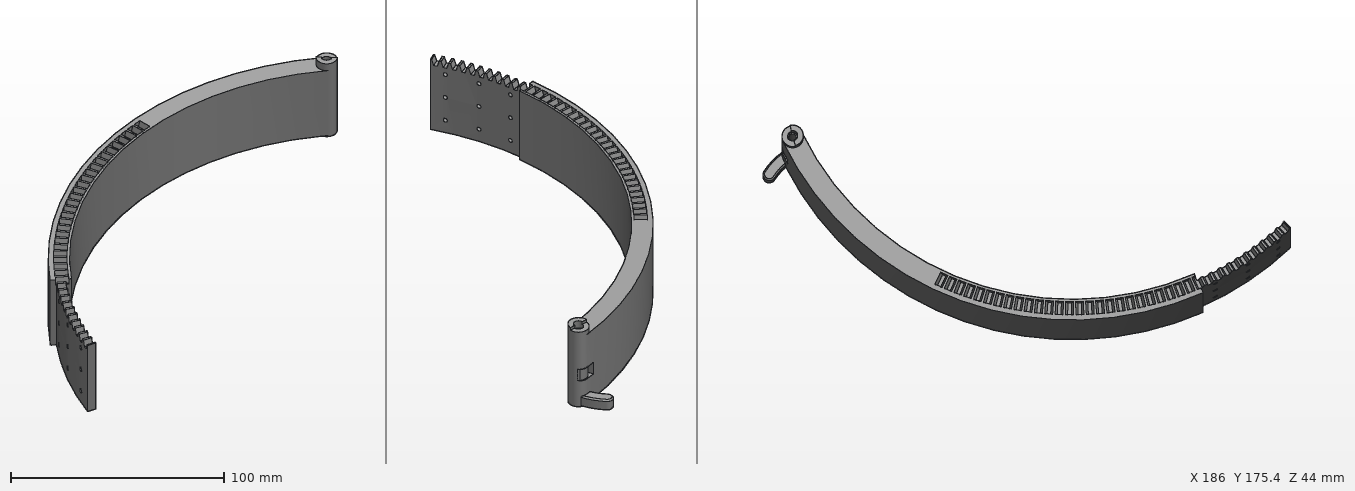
import cadquery as cq
import math

overall_length = 186.0

band_outer_radius = 150.0
band_thickness = 10.0
band_height = 40.0
band_start_angle = -9.0
band_end_angle = 80.0
bottom_chamfer = 0.7
band_inner_radius = band_outer_radius - band_thickness

strip_outer_radius = 147.0
strip_thickness = 4.3
strip_end_angle = 100.0
strip_overlap_angle = 1.0
strip_inner_radius = strip_outer_radius - strip_thickness

tooth_pitch_angle = 1.9
tooth_depth = 3.2
gap_floor_width = 1.7
gap_mouth_width = 3.7
first_gap_angle = 30.6
gap_count = 37
outer_ledge = 2.6
inner_wall = 1.1
gap_outer_radius = band_outer_radius - outer_ledge
gap_inner_radius = band_inner_radius + inner_wall

hole_diameter = 2.0
hole_angle_step = 7.0
hole_height_step = 13.0
hole_middle_angle = 90.0
hole_middle_height = band_height / 2

barrel_diameter = band_thickness
barrel_height = 44.0
bore_diameter = 3.3
counterbore_diameter = 4.7
counterbore_depth = barrel_height - band_height
top_step_depth = 1.5
top_step_tilt = -20.0
barrel_radius = barrel_diameter / 2
barrel_path_radius = band_outer_radius - barrel_radius

recess_core_diameter = 9.0
recess_bottom = 14.7
recess_height = 6.5
recess_width = 8.2

lever_height = 6.1
lever_half_width = 3.0
lever_root_offset = 0.7
lever_tip_drop = 2.5
lever_bow = 1.0
lever_chamfer = 0.7


def polar(radius, angle):
    """Point on the arc at the given radius and angle."""
    turn = math.radians(angle)
    return (-radius * math.cos(turn), -radius * math.sin(turn))


def arc_wall(inner_radius, outer_radius, start_angle, end_angle):
    """Upright wall between two radii and two angles, as tall as the band."""
    middle_angle = (start_angle + end_angle) / 2
    return (
        cq.Workplane("XY")
        .moveTo(*polar(outer_radius, start_angle))
        .threePointArc(polar(outer_radius, middle_angle), polar(outer_radius, end_angle))
        .lineTo(*polar(inner_radius, end_angle))
        .threePointArc(polar(inner_radius, middle_angle), polar(inner_radius, start_angle))
        .close()
        .extrude(band_height)
    )


barrel_x, barrel_y = polar(barrel_path_radius, band_start_angle)
strip_end_x = polar(strip_outer_radius, strip_end_angle)[0]
lever_reach = overall_length - (strip_end_x - barrel_x)


def barrel_cylinder(diameter, bottom, height):
    """Cylinder on the barrel axis."""
    base = cq.Workplane("XY", origin=(barrel_x, barrel_y, bottom))
    return base.circle(diameter / 2).extrude(height)


def make_band():
    band = arc_wall(band_inner_radius, band_outer_radius, band_start_angle, band_end_angle)
    return band.faces("<Z").chamfer(bottom_chamfer)


def make_strip():
    start_angle = band_end_angle - strip_overlap_angle
    return arc_wall(strip_inner_radius, strip_outer_radius, start_angle, strip_end_angle)


def tooth_gaps():
    """Tapered radial gaps between the rack teeth."""
    floor = band_height - tooth_depth
    gap = (
        cq.Workplane("YZ", origin=(-gap_outer_radius, 0, 0))
        .moveTo(-gap_floor_width / 2, floor)
        .lineTo(gap_floor_width / 2, floor)
        .lineTo(gap_mouth_width / 2, band_height)
        .lineTo(-gap_mouth_width / 2, band_height)
        .close()
        .extrude(gap_outer_radius - gap_inner_radius)
        .val()
    )
    gaps = cq.Workplane("XY")
    for index in range(gap_count):
        angle = first_gap_angle + index * tooth_pitch_angle
        gaps = gaps.add(gap.rotate((0, 0, 0), (0, 0, 1), angle))
    return gaps.combine()


def strip_holes():
    """Three by three grid of radial holes."""
    holes = cq.Workplane("XY")
    for column in (-1, 0, 1):
        angle = hole_middle_angle + column * hole_angle_step
        for row in (-1, 0, 1):
            height = hole_middle_height + row * hole_height_step
            hole = (
                cq.Workplane("YZ", origin=(-band_outer_radius, 0, height))
                .circle(hole_diameter / 2)
                .extrude(band_thickness)
                .val()
            )
            holes = holes.add(hole.rotate((0, 0, 0), (0, 0, 1), angle))
    return holes.combine()


def make_barrel():
    """Barrel whose top is one step lower on its -X half."""
    barrel = barrel_cylinder(barrel_diameter, 0, barrel_height)
    step = (
        cq.Workplane("XY", origin=(barrel_x, barrel_y, barrel_height - top_step_depth))
        .transformed(rotate=(0, 0, top_step_tilt))
        .center(-barrel_radius, 0)
        .rect(barrel_diameter, barrel_diameter * 2)
        .extrude(top_step_depth)
    )
    return barrel.cut(step)


def make_bore():
    bore = barrel_cylinder(bore_diameter, 0, barrel_height)
    counterbore = barrel_cylinder(
        counterbore_diameter, barrel_height - counterbore_depth, counterbore_depth
    )
    return bore.union(counterbore)


def make_recess():
    block = (
        cq.Workplane("XY", origin=(barrel_x - barrel_radius, barrel_y, recess_bottom))
        .rect(barrel_diameter, recess_width)
        .extrude(recess_height)
    )
    return block.cut(barrel_cylinder(recess_core_diameter, recess_bottom, recess_height))


def make_lever():
    """Bowed arm of even width, rounded at both ends and rooted inside the barrel."""
    tip_x = lever_half_width - lever_reach
    tip_y = lever_root_offset - lever_tip_drop
    middle_y = (lever_root_offset + tip_y) / 2 + lever_bow
    return (
        cq.Workplane("XY", origin=(barrel_x, barrel_y, 0))
        .moveTo(0, lever_root_offset)
        .threePointArc((tip_x / 2, middle_y), (tip_x, tip_y))
        .offset2D(lever_half_width)
        .extrude(lever_height)
        .faces("<Z or >Z")
        .chamfer(lever_chamfer)
    )


result = (
    make_band()
    .union(make_strip())
    .cut(tooth_gaps())
    .cut(strip_holes())
    .union(make_barrel())
    .union(make_lever())
    .cut(make_recess())
    .cut(make_bore())
)